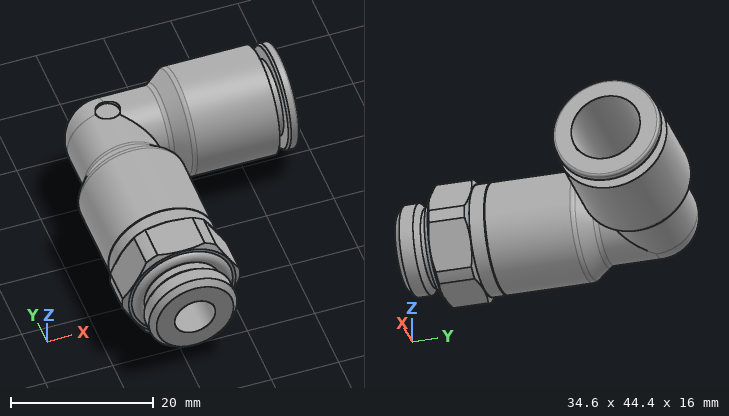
import cadquery as cq
import math


total_length = 44.4
barrel_radius = 8.015
thread_end = total_length - barrel_radius

elbow_radius = 6.05
cone_length = 2.65
cone_fillet = 1.1

recess_radius = 1.78
recess_floor = 5.4

tube_bore_radius = 5.0
tube_cone_start = 7.4
tube_barrel_end = 22.75
collar_neck_radius = 5.6
collar_start = 24.15
collar_end = 25.8
collar_radius = 7.75
collar_chamfer_length = 0.35
collar_chamfer_depth = 0.25
collar_rim_fillet = 0.35

thread_bore_radius = 3.0
thread_cone_start = 7.3
groove_center = 22.75
groove_width = 0.15
groove_depth = 0.65
hex_start = 24.95
hex_end = 31.05
hex_across_flats = 2 * barrel_radius
hex_corner_radius = 8.75
hex_face_radius = 7.95
hex_chamfer_angle = 30.0
seal_outer_radius = 7.5
seal_section_radius = 0.95
seal_end = 31.85
thread_start = 32.7
thread_radius = 6.55
thread_chamfer = 0.85
thread_neck_radius = thread_radius - thread_chamfer


def cylinder(radius, start, end):
    """Cylinder on the Z axis between two distances."""
    return cq.Workplane("XY").workplane(offset=start).circle(radius).extrude(end - start)


def revolve_about_z(points):
    """Solid of revolution from (radius, distance) points."""
    return cq.Workplane("XZ").polyline(points).close().revolve(360, (0, 0, 0), (0, 1, 0))


def circle_at(distance):
    """Selector for the circular edge centred on the Z axis at a distance."""
    return cq.selectors.NearestToPointSelector((0, 0, distance))


def coned_barrel(cone_start, end):
    """Elbow neck that widens through a cone with blended ends into the barrel."""
    cone_end = cone_start + cone_length
    profile = [
        (0, 0),
        (elbow_radius, 0),
        (elbow_radius, cone_start),
        (barrel_radius, cone_end),
        (barrel_radius, end),
        (0, end),
    ]
    body = revolve_about_z(profile)
    body = body.edges("%CIRCLE").edges(circle_at(cone_start)).fillet(cone_fillet)
    return body.edges("%CIRCLE").edges(circle_at(cone_end)).fillet(cone_fillet)


def release_collar():
    """Flange pressed by hand to free the tube."""
    collar = cylinder(collar_radius, collar_start, collar_end)
    collar = collar.faces(">Z").edges().fillet(collar_rim_fillet)
    envelope = revolve_about_z([
        (0, collar_start),
        (collar_radius - collar_chamfer_depth, collar_start),
        (collar_radius, collar_start + collar_chamfer_length),
        (collar_radius, collar_end),
        (0, collar_end),
    ])
    return collar.intersect(envelope)


def tube_arm():
    """Coned barrel with the release collar on its open end."""
    collar_neck = cylinder(collar_neck_radius, 0, collar_end)
    return coned_barrel(tube_cone_start, tube_barrel_end).union(collar_neck).union(release_collar())


def hexagon_nut():
    """Hexagon with rounded corners and conical chamfers at both ends."""
    across_corners = hex_across_flats / math.cos(math.radians(30))
    hexagon = (
        cq.Workplane("XY")
        .workplane(offset=hex_start)
        .polygon(6, across_corners)
        .extrude(hex_end - hex_start)
    )
    chamfer_depth = hex_corner_radius - hex_face_radius
    chamfer_length = chamfer_depth * math.tan(math.radians(hex_chamfer_angle))
    envelope = revolve_about_z([
        (0, hex_start),
        (hex_face_radius, hex_start),
        (hex_corner_radius, hex_start + chamfer_length),
        (hex_corner_radius, hex_end - chamfer_length),
        (hex_face_radius, hex_end),
        (0, hex_end),
    ])
    return hexagon.intersect(envelope)


def barrel_groove():
    """Thin ring of material removed where the barrel meets its end sleeve."""
    start = groove_center - groove_width / 2
    end = groove_center + groove_width / 2
    return cylinder(barrel_radius, start, end).cut(
        cylinder(barrel_radius - groove_depth, start, end)
    )


def seal_ring():
    """O-ring seated against the nut around the thread neck."""
    center = (seal_outer_radius - seal_section_radius, seal_end - seal_section_radius)
    section = cq.Workplane("XZ").moveTo(*center).circle(seal_section_radius)
    return section.revolve(360, (0, 0, 0), (0, 1, 0))


def threaded_arm():
    """Coned barrel ending in the nut, seal and thread."""
    thread_neck = cylinder(thread_neck_radius, hex_end, thread_end)
    thread = cylinder(thread_radius, thread_start, thread_end)
    thread = thread.edges("%CIRCLE").chamfer(thread_chamfer)
    return (
        coned_barrel(thread_cone_start, hex_start)
        .cut(barrel_groove())
        .union(hexagon_nut())
        .union(seal_ring())
        .union(thread_neck)
        .union(thread)
    )


def along_x(arm):
    """Turn an arm from +Z to +X."""
    return arm.rotate((0, 0, 0), (0, 1, 0), 90)


def along_minus_y(arm):
    """Turn an arm from +Z to -Y."""
    return arm.rotate((0, 0, 0), (1, 0, 0), 90)


body = (
    along_minus_y(threaded_arm())
    .union(along_x(tube_arm()))
    .union(cq.Workplane("XY").sphere(elbow_radius))
)

bore = (
    along_x(cylinder(tube_bore_radius, 0, collar_end))
    .union(cq.Workplane("XY").sphere(tube_bore_radius))
    .union(along_minus_y(cylinder(thread_bore_radius, 0, thread_end)))
)

recess = cylinder(recess_radius, recess_floor, elbow_radius)

result = body.cut(bore).cut(recess)